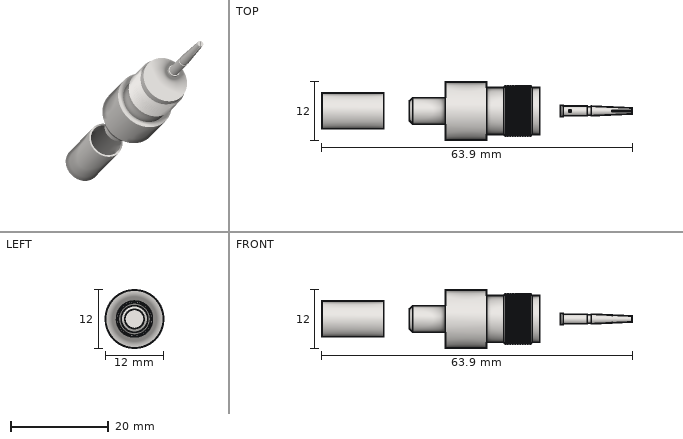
import cadquery as cq


FERRULE_LENGTH = 12.8
FERRULE_RADIUS = 3.7
FERRULE_BORE_RADIUS = 3.3

STEM_START = 17.95
STEM_RADIUS = 2.75
STEM_CHAMFER = 0.75
COLLAR_START = 25.4
COLLAR_END = 33.9
COLLAR_RADIUS = 6.0
BARREL_END = 44.9
BARREL_RADIUS = 4.85

CREST_RADIUS = 5.25
FIRST_CREST_X = 37.8
CREST_COUNT = 11
CREST_PITCH = 0.5
LAST_CREST_X = FIRST_CREST_X + (CREST_COUNT - 1) * CREST_PITCH
ROOT_RADIUS = CREST_RADIUS - CREST_PITCH / 2
THREAD_HEIGHT = CREST_RADIUS - BARREL_RADIUS

PIN_START = 49.1
PIN_END = 63.85
HEAD_LENGTH = 0.6
HEAD_END = PIN_START + HEAD_LENGTH
HEAD_RADIUS = 1.2
SHANK_END = 54.65
SHANK_RADIUS = 1.0
NECK_END = 55.4
NECK_RADIUS = 0.9
PIN_TIP_RADIUS = 0.65
CROSS_HOLE_X = 51.1
CROSS_HOLE_RADIUS = 0.25
SLOT_START = 59.8
SLOT_WIDTH = 0.16


def turned(profile):
    """Revolve a closed (x, radius) outline about the X axis."""
    return cq.Workplane("XZ").polyline(profile).close().revolve(360, (0, 0, 0), (1, 0, 0))


def make_ferrule():
    """Plain open tube."""
    return turned([
        (0, FERRULE_BORE_RADIUS),
        (0, FERRULE_RADIUS),
        (FERRULE_LENGTH, FERRULE_RADIUS),
        (FERRULE_LENGTH, FERRULE_BORE_RADIUS),
    ])


def make_connector_body():
    """Chamfered stem, collar and barrel with ridges, turned from one outline."""
    outline = [
        (STEM_START, 0),
        (STEM_START, STEM_RADIUS - STEM_CHAMFER),
        (STEM_START + STEM_CHAMFER, STEM_RADIUS),
        (COLLAR_START, STEM_RADIUS),
        (COLLAR_START, COLLAR_RADIUS),
        (COLLAR_END, COLLAR_RADIUS),
        (COLLAR_END, BARREL_RADIUS),
        (FIRST_CREST_X - THREAD_HEIGHT, BARREL_RADIUS),
    ]
    for i in range(CREST_COUNT - 1):
        crest_x = FIRST_CREST_X + i * CREST_PITCH
        outline.append((crest_x, CREST_RADIUS))
        outline.append((crest_x + CREST_PITCH / 2, ROOT_RADIUS))
    outline += [
        (LAST_CREST_X, CREST_RADIUS),
        (LAST_CREST_X + THREAD_HEIGHT, BARREL_RADIUS),
        (BARREL_END, BARREL_RADIUS),
        (BARREL_END, 0),
    ]
    return turned(outline)


def make_pin():
    """Headed pin with a cross hole and neck groove in the shank, and a slotted, tapered tip."""
    blank = turned([
        (PIN_START, 0),
        (PIN_START, HEAD_RADIUS),
        (HEAD_END, HEAD_RADIUS),
        (HEAD_END, SHANK_RADIUS),
        (SHANK_END, SHANK_RADIUS),
        (SHANK_END, NECK_RADIUS),
        (NECK_END, NECK_RADIUS),
        (NECK_END, SHANK_RADIUS),
        (PIN_END, PIN_TIP_RADIUS),
        (PIN_END, 0),
    ])
    cross_hole = (
        cq.Workplane("XY")
        .center(CROSS_HOLE_X, 0)
        .circle(CROSS_HOLE_RADIUS)
        .extrude(SHANK_RADIUS)
    )
    slot = cq.Workplane("XY").box(
        PIN_END - SLOT_START, SLOT_WIDTH, 2 * SHANK_RADIUS, centered=(False, True, True)
    ).translate((SLOT_START, 0, 0))
    return blank.cut(cross_hole).cut(slot)


ferrule = make_ferrule()
connector_body = make_connector_body()
pin = make_pin()

result = cq.Compound.makeCompound([ferrule.val(), connector_body.val(), pin.val()])